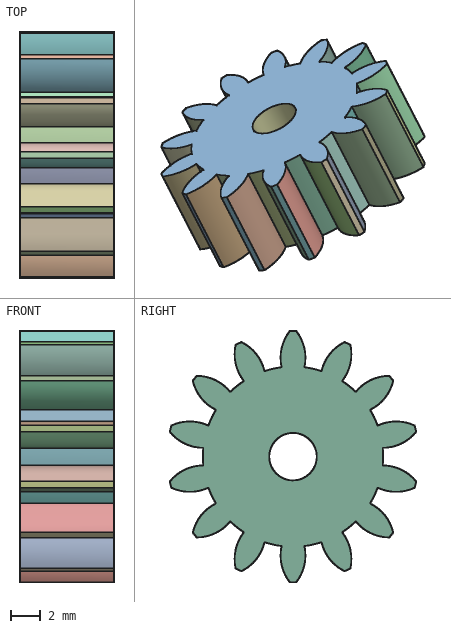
import cadquery as cq
import math

tooth_count = 14
face_width = 6.35
outer_radius = 8.46
root_radius = 6.08
bore_radius = 1.59

tip_half_width = 0.22
widest_half_width = 0.85
root_half_width = 0.78
widest_radius = 6.7

tip_height = math.sqrt(outer_radius**2 - tip_half_width**2)
root_height = math.sqrt(root_radius**2 - root_half_width**2)
tooth_pitch = 360 / tooth_count


def make_hub():
    """Root cylinder that carries the teeth."""
    return cq.Workplane("YZ").circle(root_radius).extrude(face_width / 2, both=True)


def make_tooth():
    """Tooth pointing along +Z, with its foot sunk into the hub."""
    foot_height = root_radius / 2
    return (
        cq.Workplane("YZ")
        .moveTo(-root_half_width, foot_height)
        .lineTo(-root_half_width, root_height)
        .threePointArc((-widest_half_width, widest_radius), (-tip_half_width, tip_height))
        .threePointArc((0, outer_radius), (tip_half_width, tip_height))
        .threePointArc((widest_half_width, widest_radius), (root_half_width, root_height))
        .lineTo(root_half_width, foot_height)
        .close()
        .extrude(face_width / 2, both=True)
    )


def make_bore():
    """Plain shaft hole through the full face width."""
    return cq.Workplane("YZ").circle(bore_radius).extrude(face_width / 2, both=True)


gear = make_hub()
tooth = make_tooth()
for index in range(tooth_count):
    gear = gear.union(tooth.rotate((0, 0, 0), (1, 0, 0), index * tooth_pitch))

result = gear.cut(make_bore())